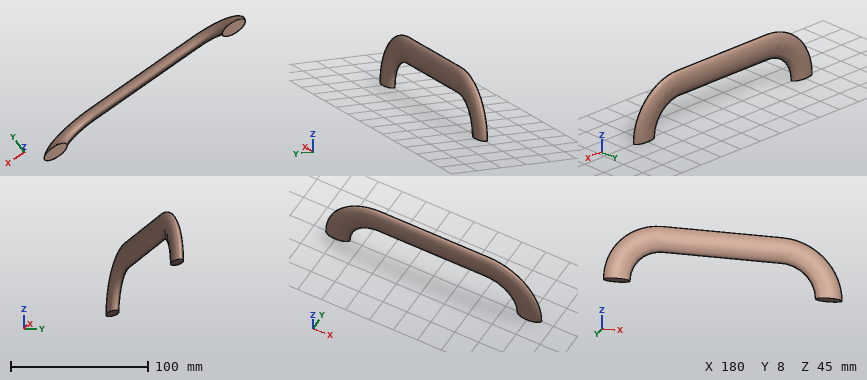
import cadquery as cq

length = 180.0
height = 45.0
bar_width = 20.0
bar_thickness = 8.0

outer_bend_radius = height
center_bend_radius = outer_bend_radius - bar_width / 2
grip_length = length - 2 * outer_bend_radius
half_grip = grip_length / 2


def bar_section(workplane):
    """Ellipse with its long axis along the first direction of the workplane."""
    return workplane.ellipse(bar_width / 2, bar_thickness / 2)


def curved_leg():
    """Right-hand leg, swept a quarter turn from its foot up to the grip."""
    foot = cq.Workplane("XY").center(half_grip + center_bend_radius, 0)
    axis_start = (-center_bend_radius, 0, 0)
    axis_end = (-center_bend_radius, -1, 0)
    return bar_section(foot).revolve(90, axis_start, axis_end)


def straight_grip():
    section_plane = cq.Plane(
        origin=(-half_grip, 0, center_bend_radius), xDir=(0, 0, -1), normal=(1, 0, 0)
    )
    return bar_section(cq.Workplane(section_plane)).extrude(grip_length)


right_leg = curved_leg()
left_leg = right_leg.mirror("YZ")
result = straight_grip().union(right_leg).union(left_leg)